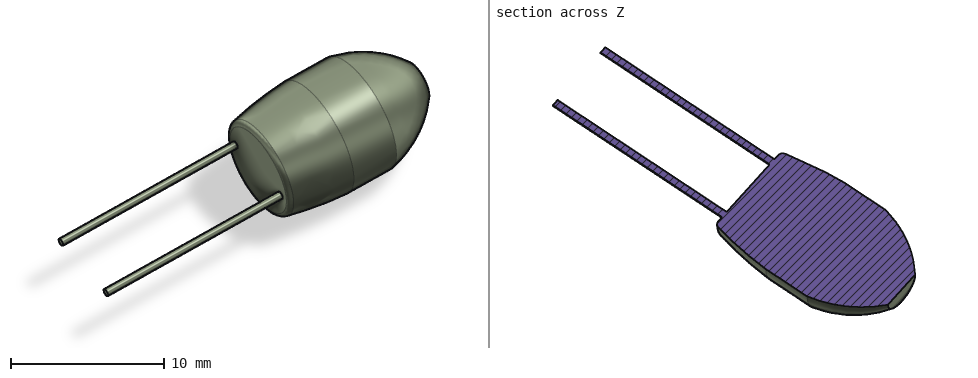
import cadquery as cq

total_length = 26.65

body_diameter = 8.4
body_length = 12.7
skirt_length = 4.7
band_length = 3.4
skirt_end_diameter = 7.0
base_round = 0.4
skirt_bulge = 0.1

tip_diameter = 2.93
dome_bulge = 0.45

lead_diameter = 0.53
lead_pitch = 5.1

body_radius = body_diameter / 2
base_y = total_length - body_length
band_start_y = base_y + skirt_length
band_end_y = band_start_y + band_length


def bulged_midpoint(start, end, bulge):
    """Midpoint of a chord, pushed out from it by the bulge, away from the axis."""
    dx = end[0] - start[0]
    dy = end[1] - start[1]
    chord = (dx**2 + dy**2) ** 0.5
    mid_x = (start[0] + end[0]) / 2
    mid_y = (start[1] + end[1]) / 2
    return (mid_x + bulge * dy / chord, mid_y - bulge * dx / chord)


def make_body():
    skirt_start = (skirt_end_diameter / 2, base_y)
    band_start = (body_radius, band_start_y)
    band_end = (body_radius, band_end_y)
    tip_rim = (tip_diameter / 2, total_length)
    profile = (
        cq.Workplane("XY")
        .moveTo(0, base_y)
        .lineTo(*skirt_start)
        .threePointArc(bulged_midpoint(skirt_start, band_start, skirt_bulge), band_start)
        .lineTo(*band_end)
        .threePointArc(bulged_midpoint(band_end, tip_rim, dome_bulge), tip_rim)
        .lineTo(0, total_length)
        .close()
    )
    body = profile.revolve(360, (0, 0, 0), (0, 1, 0))
    return body.faces("<Y").edges().fillet(base_round)


def make_lead(x):
    lead = cq.Workplane("XZ").center(x, 0).circle(lead_diameter / 2)
    return lead.extrude(-base_y)


result = make_body()
for side in (-1, 1):
    result = result.union(make_lead(side * lead_pitch / 2))